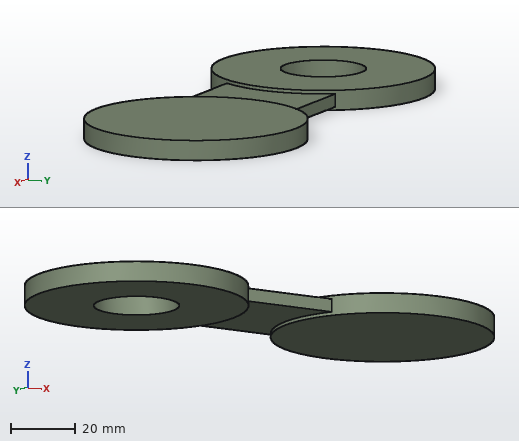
import cadquery as cq

overall_length = 158.8
disc_diameter = 69.8
disc_thickness = 6.4
disc_offset = (overall_length - disc_diameter) / 2

bore_diameter = 26.7

web_width = 37.8
web_thickness = 4.1
web_length = disc_offset


def cylinder_at(center_x, diameter):
    """Upright cylinder of disc thickness, centred on the mid-plane Z = 0."""
    return cq.Workplane("XY").center(center_x, 0).cylinder(disc_thickness, diameter / 2)


open_disc = cylinder_at(-disc_offset, disc_diameter).cut(cylinder_at(-disc_offset, bore_diameter))
blind_disc = cylinder_at(disc_offset, disc_diameter)
web = cq.Workplane("XY").box(web_length, web_width, web_thickness)

result = web.union(open_disc).union(blind_disc)